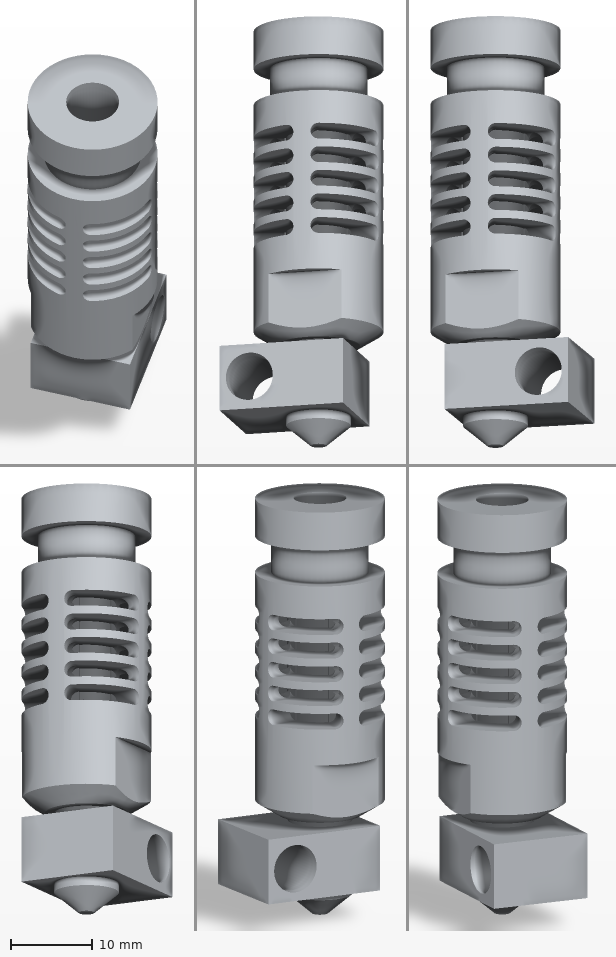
import cadquery as cq

TOP_Z = 52.5
COLLAR_BOTTOM_Z = 47.7
BARREL_TOP_Z = 43.15
FLAT_TOP_Z = 20.55
CHAMFER_TOP_Z = 14.4
BARREL_BOTTOM_Z = 12.6
BLOCK_TOP_Z = 11.8
BLOCK_BOTTOM_Z = 3.6
CONE_TOP_Z = 2.5

BARREL_RADIUS = 16.0 / 2
NECK_RADIUS = 12.0 / 2
BORE_RADIUS = 6.5 / 2
CHAMFER_BOTTOM_RADIUS = 5.15
FLAT_SPACING = 13.0

SLOT_HEIGHT = 2.0
SLOT_ROWS = 5
SLOT_PITCH = 3.0
LOWEST_SLOT_Z = 26.05
SLOTS_PER_ROW = 4
SLOT_SPACING_ANGLE = 360 / SLOTS_PER_ROW
SLOT_END_ANGLE = 15.0
SLOT_SWEEP_ANGLE = SLOT_SPACING_ANGLE - 2 * SLOT_END_ANGLE
SLOT_FLOOR_RADIUS = 8.0 / 2
SLOT_END_FLOOR = 4.2

VENT_RADIUS = SLOT_HEIGHT / 2
VENT_OFFSET = 5.2

STEM_RADIUS = 8.0 / 2
STEM_TOP_Z = LOWEST_SLOT_Z
TIP_RADIUS = 2.0 / 2
OVERALL_DEPTH = 18.9
BLOCK_LEFT_X = -6.5
BLOCK_WIDTH = 12.75
BLOCK_BACK_Y = OVERALL_DEPTH - BARREL_RADIUS
BLOCK_DEPTH = 15.75
BLOCK_HEIGHT = BLOCK_TOP_Z - BLOCK_BOTTOM_Z
HEATER_HOLE_RADIUS = 6.0 / 2
HEATER_HOLE_Y = 7.1
HEATER_HOLE_Z = BLOCK_BOTTOM_Z + BLOCK_HEIGHT / 2

OVERCUT = 0.5
TOOL_RADIUS = BARREL_RADIUS + OVERCUT


def turn(profile):
    """Revolve an (X, Z) outline a full turn about the Z axis."""
    return cq.Workplane("XZ").polyline(profile).close().revolve(360, (0, 0), (0, 1))


def rotate_about_z(shape, angle):
    return shape.rotate((0, 0, 0), (0, 0, 1), angle)


def make_barrel():
    return turn([
        (0, BARREL_BOTTOM_Z),
        (CHAMFER_BOTTOM_RADIUS, BARREL_BOTTOM_Z),
        (BARREL_RADIUS, CHAMFER_TOP_Z),
        (BARREL_RADIUS, BARREL_TOP_Z),
        (NECK_RADIUS, BARREL_TOP_Z),
        (NECK_RADIUS, COLLAR_BOTTOM_Z),
        (BARREL_RADIUS, COLLAR_BOTTOM_Z),
        (BARREL_RADIUS, TOP_Z),
        (0, TOP_Z),
    ])


def cut_wrench_flats(body):
    """Two parallel flats facing -X and +X at the lower end of the barrel."""
    tool_width = TOOL_RADIUS - FLAT_SPACING / 2
    tool_centre_x = FLAT_SPACING / 2 + tool_width / 2
    for side in (-1, 1):
        tool = (
            cq.Workplane("XY")
            .center(side * tool_centre_x, 0)
            .rect(tool_width, 2 * TOOL_RADIUS)
            .extrude(FLAT_TOP_Z)
        )
        body = body.cut(tool)
    return body


def make_slot_tool():
    """One slot at height zero, starting at its end angle from +X and running towards +Y."""
    low, high = -SLOT_HEIGHT / 2, SLOT_HEIGHT / 2
    section = [(SLOT_FLOOR_RADIUS, low), (TOOL_RADIUS, low), (TOOL_RADIUS, high), (SLOT_FLOOR_RADIUS, high)]
    arc = cq.Workplane("XZ").polyline(section).close().revolve(SLOT_SWEEP_ANGLE, (0, 0), (0, 1))
    end = (
        cq.Workplane("YZ", origin=(SLOT_END_FLOOR, 0, 0))
        .circle(SLOT_HEIGHT / 2)
        .extrude(TOOL_RADIUS - SLOT_END_FLOOR)
    )
    slot = arc.union(end).union(rotate_about_z(end, SLOT_SWEEP_ANGLE))
    return rotate_about_z(slot, SLOT_END_ANGLE)


def cut_slots(body):
    slot = make_slot_tool()
    for row in range(SLOT_ROWS):
        row_z = LOWEST_SLOT_Z + row * SLOT_PITCH
        for index in range(SLOTS_PER_ROW):
            tool = rotate_about_z(slot, index * SLOT_SPACING_ANGLE)
            body = body.cut(tool.translate((0, 0, row_z)))
    return body


def cut_vents(body):
    """Holes along X and along Y through the webs between the slots."""
    for row in range(1, SLOT_ROWS):
        row_z = LOWEST_SLOT_Z + row * SLOT_PITCH
        for plane in ("XZ", "YZ"):
            tool = (
                cq.Workplane(plane)
                .pushPoints([(-VENT_OFFSET, row_z), (VENT_OFFSET, row_z)])
                .circle(VENT_RADIUS)
                .extrude(TOOL_RADIUS, both=True)
            )
            body = body.cut(tool)
    return body


def cut_bore_and_stem_socket(body):
    """Bore from the top, opening into the socket that holds the nozzle stem."""
    bore = cq.Workplane("XY").circle(BORE_RADIUS).extrude(TOP_Z)
    socket = cq.Workplane("XY").circle(STEM_RADIUS).extrude(STEM_TOP_Z)
    return body.cut(bore).cut(socket)


def make_holder():
    body = cut_wrench_flats(make_barrel())
    body = cut_vents(cut_slots(body))
    return cut_bore_and_stem_socket(body)


def make_heater_block():
    block = (
        cq.Workplane("XY", origin=(BLOCK_LEFT_X, BLOCK_BACK_Y - BLOCK_DEPTH, BLOCK_BOTTOM_Z))
        .box(BLOCK_WIDTH, BLOCK_DEPTH, BLOCK_HEIGHT, centered=False)
    )
    heater_hole = (
        cq.Workplane("YZ")
        .center(HEATER_HOLE_Y, HEATER_HOLE_Z)
        .circle(HEATER_HOLE_RADIUS)
        .extrude(BLOCK_WIDTH, both=True)
    )
    return block.cut(heater_hole)


def make_nozzle():
    stem = turn([
        (0, 0),
        (TIP_RADIUS, 0),
        (STEM_RADIUS, CONE_TOP_Z),
        (STEM_RADIUS, STEM_TOP_Z),
        (0, STEM_TOP_Z),
    ])
    return stem.union(make_heater_block())


holder = make_holder()
nozzle = make_nozzle()

result = cq.Compound.makeCompound([holder.solids().val(), nozzle.solids().val()])